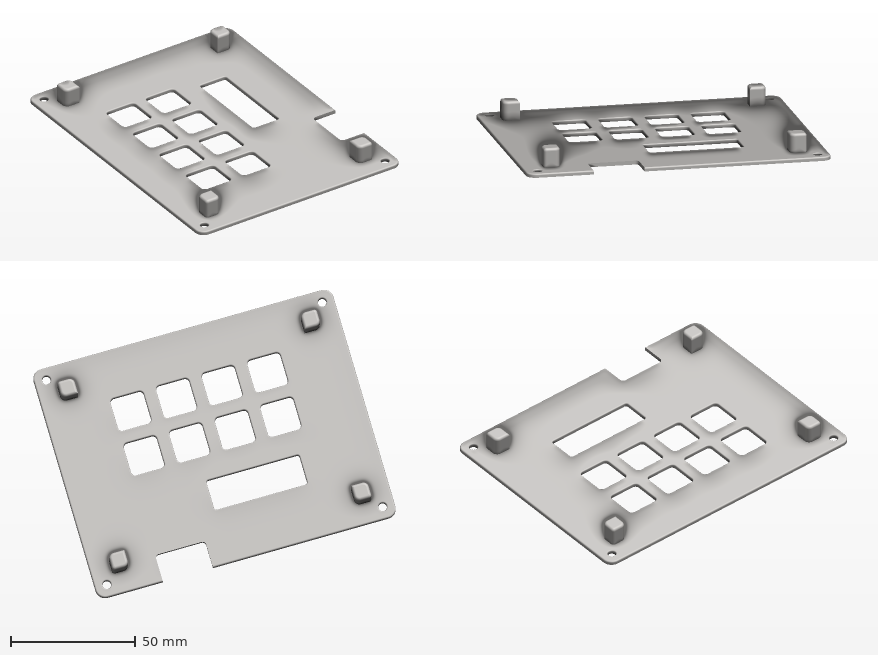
import cadquery as cq

length = 125.7
width = 97.8
total_height = 9.5
thickness = 1.6
corner_radius = 4.0
rim_fillet = 0.6

opening_fillet = 0.5

hole_diameter = 3.4
hole_inset = 5.0

key_size = 13.8
key_radius = 1.8
key_pitch = 19.1
key_columns = 4
key_rows = 2
key_block_y = -12.7

display_length = 39.0
display_width = 12.6
display_radius = 1.0
display_x = -12.0
display_y = 20.1

notch_width = 21.0
notch_depth = 11.3
notch_x = 25.3
notch_radius = 1.5

post_size = 6.9
post_x = 50.9
post_y = 37.0
post_outer_radius = 1.2
post_side_radius = 2.3
post_top_fillet = 1.1


def make_blank():
    """Plate with rounded corners and a rounded upper rim."""
    blank = cq.Workplane("XY").rect(length, width).extrude(thickness)
    return blank.edges("|Z").fillet(corner_radius).faces(">Z").edges().fillet(rim_fillet)


def make_hole_cutter():
    """Four screw holes, equally inset from the plate corners."""
    spacing_x = length - 2 * hole_inset
    spacing_y = width - 2 * hole_inset
    holes = cq.Workplane("XY").rect(spacing_x, spacing_y, forConstruction=True).vertices()
    return holes.circle(hole_diameter / 2).extrude(thickness)


def make_key_cutter():
    """Grid of square key windows with rounded corners."""
    grid = (
        cq.Workplane("XY")
        .center(0, key_block_y)
        .rarray(key_pitch, key_pitch, key_columns, key_rows)
    )
    return grid.rect(key_size, key_size).extrude(thickness).edges("|Z").fillet(key_radius)


def make_display_cutter():
    """Rectangular display window with rounded corners."""
    window = cq.Workplane("XY").center(display_x, display_y)
    window = window.rect(display_length, display_width).extrude(thickness)
    return window.edges("|Z").fillet(display_radius)


def make_notch_cutter():
    """Notch open to the +Y edge, with its two inner corners rounded."""
    notch = cq.Workplane("XY").center(notch_x, width / 2 - notch_depth / 2)
    notch = notch.rect(notch_width, notch_depth).extrude(thickness)
    return notch.edges("|Z and <Y").fillet(notch_radius)


def make_post():
    """Post for the +X +Y corner: the corner facing the plate centre stays sharp."""
    post = cq.Workplane("XY").rect(post_size, post_size).extrude(total_height)
    post = post.edges("(>X and >Y) and |Z").fillet(post_outer_radius)
    for side_corner in ("(>X and <Y) and |Z", "(<X and >Y) and |Z"):
        post = post.edges(side_corner).fillet(post_side_radius)
    post = post.faces(">Z").edges().fillet(post_top_fillet)
    return post.translate((post_x, post_y, 0))


def add_posts(plate):
    """Join one post to the plate in each quadrant, mirrored about both centre lines."""
    right_post = make_post()
    left_post = right_post.mirror("YZ")
    for back_post in (right_post, left_post):
        plate = plate.union(back_post).union(back_post.mirror("XZ"))
    return plate


def round_opening_rims(plate):
    """Round the upper edge of every hole and window."""
    top_face = plate.faces(">Z")
    opening_outlines = top_face.newObject(top_face.val().innerWires())
    return opening_outlines.edges().fillet(opening_fillet)


plate = make_blank()
for cutter in (make_hole_cutter(), make_key_cutter(), make_display_cutter()):
    plate = plate.cut(cutter)
plate = round_opening_rims(plate)

plate = plate.cut(make_notch_cutter())

result = add_posts(plate)